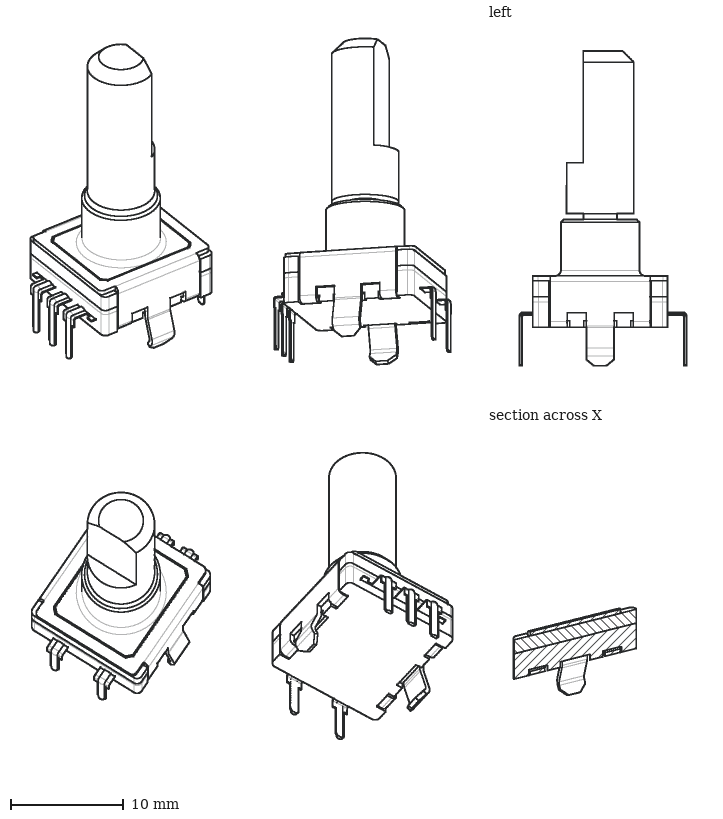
import cadquery as cq
import math

total_height = 28.0
leg_drop = 3.42
shaft_top = total_height - leg_drop
cover_top = 4.6
sheet = 0.42
cover_under = cover_top - sheet

body_x = 11.6
body_y = 12.0
corner_radius = 0.5
lower_layer_top = 2.3
upper_layer_top = 2.72
half_x = body_x / 2
half_y = body_y / 2

flange_y = 8.88
flange_gap = 0.1
top_bend = 0.5
fold_bend = 0.55
plate_corner = 0.45
plate_x = body_x - 2 * top_bend
window_x = 8.45
window_y = 9.95
window_chamfer = 0.5
window_gap = 0.1
flange_inside = half_x - sheet

notch_top = 1.3
notch_y = 5.88
leg_y = 2.45
fold_reach = 1.0
pocket_height = 0.6
pocket_margin = 0.22
leg_bend_z = 0.08
leg_bend_radius = 0.5
knee_x = 6.55
knee_z = -2.18
knee_radius = 0.8
leg_tip_x = 5.75
leg_tip_chamfer = 0.67

bushing_diameter = 7.0
bushing_top = 9.6
bushing_chamfer = 0.25
bushing_foot_radius = 0.5
shaft_diameter = 6.0
shaft_bottom = 10.1
shaft_chamfer = 1.0
neck_diameter = 3.0
flat_offset = 1.5
flat_bottom = 14.65

terminal_pitch = 2.5
front_reach = 7.7
rear_reach = 7.2
terminal_depth = 1.0
strip_thickness = 0.1
strip_top = 1.2
strip_bend = 0.238
bead_width = 0.67
bead_height = 0.17
shoulder_bottom = 0.22
tip_chamfer = 0.2
tip_chamfer_height = 0.28
outer_shoulder_width = 1.57
outer_pin_width = 0.9
middle_shoulder_width = 1.5
middle_pin_width = 0.98

stub_outer_x = 4.48
stub_width = 0.65
stub_length = 0.45
link_length = 0.08
link_fillet = 0.17


def block(x_size, y_size, z_low, z_high):
    """Box centred on the Z axis between two heights."""
    return cq.Workplane("XY").workplane(offset=z_low).rect(x_size, y_size).extrude(z_high - z_low)


def box_between(x_low, x_high, y_low, y_high, z_low, z_high):
    """Box between the given limits along each axis."""
    box = cq.Workplane("XY").box(x_high - x_low, y_high - y_low, z_high - z_low, centered=False)
    return box.translate((x_low, y_low, z_low))


def cylinder(diameter, z_low, z_high):
    """Cylinder on the Z axis between two heights."""
    return cq.Workplane("XY").workplane(offset=z_low).circle(diameter / 2).extrude(z_high - z_low)


def both_sides(shape):
    """The shape together with its mirror image across the YZ plane."""
    return shape.union(shape.mirror("YZ"))


def body_layer(z_low, z_high):
    """Layer of the body stack with side recesses for the cover flanges."""
    layer = block(body_x, body_y, z_low, z_high).edges("|Z").fillet(corner_radius)
    recess_half = flange_y / 2 + flange_gap
    recess = box_between(flange_inside, body_x, -recess_half, recess_half, z_low, z_high)
    return layer.cut(both_sides(recess))


def make_leg():
    """Snap-in leg on the +X side: down, outward, then back in at the knee."""
    tip_z = -leg_drop
    out_angle = math.atan2(knee_x - half_x, leg_bend_z - knee_z)
    in_angle = math.atan2(knee_x - leg_tip_x, knee_z - tip_z)
    bend_normal = out_angle / 2
    bend_mitre = sheet / math.cos(out_angle / 2)
    knee_normal = (out_angle - in_angle) / 2
    knee_mitre = sheet / math.cos((out_angle + in_angle) / 2)
    inner_knee_x = knee_x - knee_mitre * math.cos(knee_normal)
    inner_knee_z = knee_z - knee_mitre * math.sin(knee_normal)
    inner_bend_x = half_x - bend_mitre * math.cos(bend_normal)
    inner_bend_z = leg_bend_z - bend_mitre * math.sin(bend_normal)
    outline = [
        (half_x, notch_top),
        (half_x, leg_bend_z),
        (knee_x, knee_z),
        (leg_tip_x, tip_z),
        (leg_tip_x - sheet * math.cos(in_angle), tip_z + sheet * math.sin(in_angle)),
        (inner_knee_x, inner_knee_z),
        (inner_bend_x, inner_bend_z),
        (flange_inside, notch_top),
    ]
    leg = cq.Workplane("XZ").polyline(outline).close().extrude(leg_y / 2, both=True)
    bends = [
        (half_x, leg_bend_z, leg_bend_radius),
        (inner_bend_x, inner_bend_z, leg_bend_radius + sheet),
        (knee_x, knee_z, knee_radius),
        (inner_knee_x, inner_knee_z, knee_radius - sheet),
    ]
    for bend_x, bend_z, radius in bends:
        leg = leg.edges(cq.selectors.NearestToPointSelector((bend_x, 0, bend_z))).fillet(radius)
    for side in (-1, 1):
        tip_edge = (
            leg_tip_x - sheet / 2 * math.cos(in_angle),
            side * leg_y / 2,
            tip_z + sheet / 2 * math.sin(in_angle),
        )
        leg = leg.edges(cq.selectors.NearestToPointSelector(tip_edge)).chamfer(leg_tip_chamfer)
    return leg


def make_cover():
    """Bent sheet-metal frame: top plate, side flanges, folded tabs and legs."""
    outside = block(body_x, flange_y, 0, cover_top)
    outside = outside.edges("|Y and >Z").fillet(top_bend).edges("|Y and <Z").fillet(fold_bend)
    inside = block(body_x - 2 * sheet, flange_y, sheet, cover_under)
    inside = inside.edges("|Y and >Z").fillet(top_bend - sheet)
    inside = inside.edges("|Y and <Z").fillet(fold_bend - sheet)
    frame = outside.cut(inside)
    frame = frame.cut(block(body_x - 2 * fold_reach, flange_y, 0, sheet))
    frame = frame.cut(block(body_x, notch_y, 0, notch_top))
    plate = block(plate_x, body_y, cover_under, cover_top).edges("|Z").fillet(plate_corner)
    window = block(window_x, window_y, cover_under, cover_top).edges("|Z").chamfer(window_chamfer)
    return frame.union(plate).cut(window).union(both_sides(make_leg()))


def make_housing():
    """Upper housing with the raised platform and the bushing."""
    housing = body_layer(upper_layer_top, cover_under)
    for side in (-1, 1):
        recess_edge = cq.selectors.NearestToPointSelector((side * flange_inside, 0, cover_under))
        housing = housing.edges(recess_edge).fillet(top_bend - sheet)
    platform = block(window_x - 2 * window_gap, window_y - 2 * window_gap, cover_under, cover_top)
    platform = platform.edges("|Z").chamfer(window_chamfer)
    bushing_radius = bushing_diameter / 2
    foot = bushing_foot_radius
    bushing = (
        cq.Workplane("XZ")
        .moveTo(0, cover_top)
        .lineTo(bushing_radius + foot, cover_top)
        .radiusArc((bushing_radius, cover_top + foot), foot)
        .lineTo(bushing_radius, bushing_top - bushing_chamfer)
        .lineTo(bushing_radius - bushing_chamfer, bushing_top)
        .lineTo(0, bushing_top)
        .close()
        .revolve(360, (0, 0, 0), (0, 1, 0))
    )
    bore = cylinder(neck_diameter, cover_top, bushing_top)
    return housing.union(platform).union(bushing).cut(bore)


def make_shaft():
    """D-shaft whose neck fills the bushing bore."""
    shaft = cylinder(shaft_diameter, shaft_bottom, shaft_top).faces(">Z").chamfer(shaft_chamfer)
    flat = box_between(-shaft_diameter, shaft_diameter, flat_offset, shaft_diameter, flat_bottom, shaft_top)
    neck = cylinder(neck_diameter, cover_top, shaft_bottom)
    return shaft.cut(flat).union(neck)


def make_terminal(reach, shoulder_width, pin_width):
    """Bent terminal on the +Y side at X = 0, with a rounded bead along its outer face."""
    strip_start = half_y - terminal_depth
    strip_face = reach - bead_height
    half_shoulder = shoulder_width / 2
    strip = box_between(-half_shoulder, half_shoulder, strip_start, strip_face, -leg_drop, strip_top)
    strip = strip.edges(">Y and >Z").fillet(strip_bend)
    under_face = strip_face - strip_thickness
    under_top = strip_top - strip_thickness
    under = box_between(-half_shoulder, half_shoulder, strip_start, under_face, -leg_drop, under_top)
    under = under.edges(">Y and >Z").fillet(strip_bend - strip_thickness)
    strip = strip.cut(under)

    half_pin = pin_width / 2
    half_tip = half_pin - tip_chamfer
    front = [
        (-half_shoulder, strip_top + bead_height),
        (-half_shoulder, shoulder_bottom),
        (-half_pin, shoulder_bottom),
        (-half_pin, tip_chamfer_height - leg_drop),
        (-half_tip, -leg_drop),
        (half_tip, -leg_drop),
        (half_pin, tip_chamfer_height - leg_drop),
        (half_pin, shoulder_bottom),
        (half_shoulder, shoulder_bottom),
        (half_shoulder, strip_top + bead_height),
    ]
    outline = cq.Workplane("XZ", origin=(0, strip_start, 0)).polyline(front).close()
    outline = outline.extrude(strip_start - reach)

    path = (
        cq.Workplane("YZ")
        .moveTo(strip_start, strip_top)
        .lineTo(strip_face - strip_bend, strip_top)
        .radiusArc((strip_face, strip_top - strip_bend), strip_bend)
        .lineTo(strip_face, -leg_drop)
    )
    bead = (
        cq.Workplane("XZ", origin=(0, strip_start, strip_top))
        .moveTo(-bead_width / 2, 0)
        .threePointArc((0, bead_height), (bead_width / 2, 0))
        .close()
        .sweep(path)
    )
    return strip.union(bead).intersect(outline)


def add_stub(terminal):
    """Join a carrier stub to the shoulder of the front terminal at +X, with filleted inner corners."""
    strip_low = strip_top - strip_thickness
    link_y = -half_y - link_length
    tab_inner_x = stub_outer_x - stub_width
    link = box_between(terminal_pitch, stub_outer_x, link_y, terminal_depth - half_y, strip_low, strip_top)
    tab = box_between(tab_inner_x, stub_outer_x, -half_y - stub_length, link_y, strip_low, strip_top)
    stubbed = terminal.union(link).union(tab)
    for corner_x in (tab_inner_x, terminal_pitch + outer_shoulder_width / 2):
        corner = cq.selectors.NearestToPointSelector((corner_x, link_y, strip_top - strip_thickness / 2))
        stubbed = stubbed.edges("|Z").edges(corner).fillet(link_fillet)
    return stubbed


def make_terminals():
    """Three front terminals and two rear ones; the outer front pair carries stubs."""
    middle = make_terminal(front_reach, middle_shoulder_width, middle_pin_width).mirror("XZ")
    front = make_terminal(front_reach, outer_shoulder_width, outer_pin_width).mirror("XZ")
    front = add_stub(front.translate((terminal_pitch, 0, 0)))
    rear = make_terminal(rear_reach, outer_shoulder_width, outer_pin_width).translate((terminal_pitch, 0, 0))
    terminals = [middle]
    for outer in (front, rear):
        terminals += [outer, outer.mirror("YZ")]
    return terminals


def make_base(terminals):
    """Lower body of two flush layers, with pockets for the cover's tabs and legs and terminal slots."""
    lower = body_layer(0, lower_layer_top)
    pocket_in = half_x - fold_reach
    fold_inner_y = notch_y / 2 - pocket_margin
    fold_outer_y = flange_y / 2 + flange_gap
    leg_half = leg_y / 2 + pocket_margin
    pockets = [
        (-fold_outer_y, -fold_inner_y),
        (-leg_half, leg_half),
        (fold_inner_y, fold_outer_y),
    ]
    for y_low, y_high in pockets:
        lower = lower.cut(both_sides(box_between(pocket_in, half_x, y_low, y_high, 0, pocket_height)))
    for terminal in terminals:
        lower = lower.cut(terminal)
    return lower.union(body_layer(lower_layer_top, upper_layer_top), clean=False)


terminals = make_terminals()
base = make_base(terminals)
housing = make_housing()
cover = make_cover()
shaft = make_shaft()

bodies = [base, housing, cover, shaft, *terminals]
result = cq.Compound.makeCompound([body.val() for body in bodies])